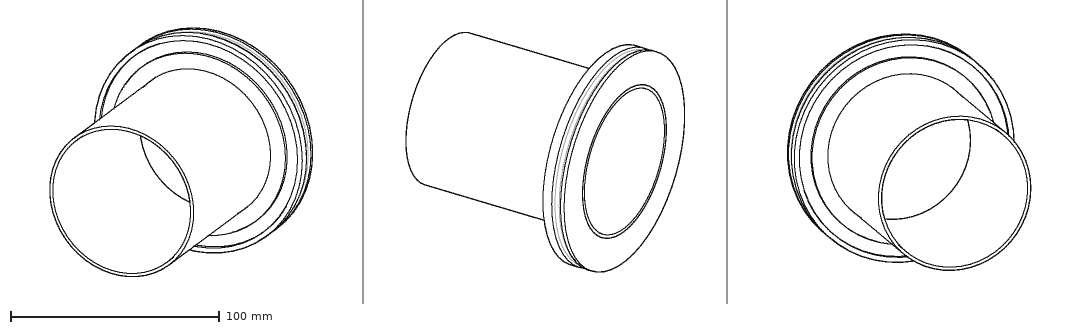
import cadquery as cq

total_length = 100.0
tube_diameter = 76.2
tube_bore = 72.9

flange_diameter = 110.0
flange_thickness = 12.0
flange_bore = 76.5

clamp_groove_centre = 4.5
clamp_groove_width = 5.0
clamp_groove_bottom_width = 2.4
clamp_groove_flank_depth = 0.9
clamp_groove_depth = 1.3

face_recess_outer_diameter = 104.9
face_recess_inner_diameter = 92.2
face_recess_depth = 2.0


def make_ring(outer_diameter, inner_diameter, start, length):
    """Ring around the Y axis, from Y = -start to Y = -(start + length)."""
    return (
        cq.Workplane("XZ", origin=(0, -start, 0))
        .circle(outer_diameter / 2)
        .circle(inner_diameter / 2)
        .extrude(length)
    )


def make_clamp_groove():
    """Revolved cutter for the groove around the flange rim."""
    rim_radius = flange_diameter / 2
    flank_radius = rim_radius - clamp_groove_flank_depth
    bottom_radius = rim_radius - clamp_groove_depth
    centre_y = -clamp_groove_centre
    half_width = clamp_groove_width / 2
    half_bottom = clamp_groove_bottom_width / 2
    return (
        cq.Workplane("XY")
        .moveTo(rim_radius, centre_y + half_width)
        .lineTo(flank_radius, centre_y + half_bottom)
        .threePointArc((bottom_radius, centre_y), (flank_radius, centre_y - half_bottom))
        .lineTo(rim_radius, centre_y - half_width)
        .close()
        .revolve(360, (0, 0, 0), (0, 1, 0))
    )


def make_flange():
    """Flange disc with its bore, rim groove and face recess."""
    disc = make_ring(flange_diameter, flange_bore, 0, flange_thickness)
    face_recess = make_ring(
        face_recess_outer_diameter,
        face_recess_inner_diameter,
        flange_thickness - face_recess_depth,
        face_recess_depth,
    )
    return disc.cut(face_recess).cut(make_clamp_groove())


def make_tube():
    """Plain tube passing through the flange, flush with its back face."""
    return make_ring(tube_diameter, tube_bore, 0, total_length)


flange = make_flange()
tube = make_tube()

result = cq.Compound.makeCompound([flange.val(), tube.val()])